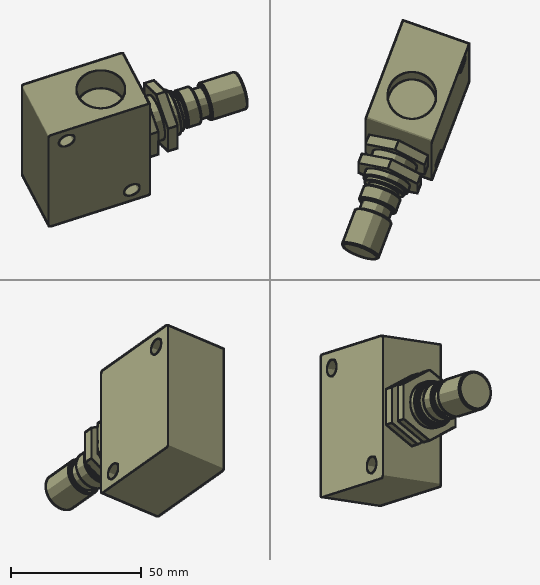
import cadquery as cq

body_width = 27.0
body_height = 56.0
total_length = 85.0
stem_length = 43.0
body_length = total_length - stem_length
edge_radius = 1.0

port_diameter = 18.6
port_depth = 11.0
port_setback = 14.9

mount_diameter = 6.5
mount_height = 21.5
upper_mount_setback = 34.5
lower_mount_setback = 7.6

nut_across_corners = 27.8
nut_thickness = 4.0
nut_starts = (0, 8.0)

sleeve_diameter = 18.0
sleeve_end = 15.0
sleeve_chamfer = 0.3
collar_diameter = 16.0
collar_end = 16.5
collar_chamfer = 0.25
neck_diameter = 12.0
knob_diameter = 15.0
ring_start = 18.0
ring_end = 24.0
knob_start = 28.0
knob_chamfer = 0.5


def rear_plane(distance):
    """Workplane normal to Y at the given distance behind the body."""
    return cq.Workplane("XZ", origin=(0, distance, 0))


def stem_section(diameter, start, end):
    return rear_plane(start).circle(diameter / 2).extrude(start - end)


def make_body():
    body = cq.Workplane("XY").box(body_width, body_length, body_height)
    body = body.translate((0, -body_length / 2, 0)).edges("|X").fillet(edge_radius)
    port = (
        cq.Workplane("XY", origin=(0, -port_setback, body_height / 2))
        .circle(port_diameter / 2)
        .extrude(-port_depth)
    )
    mounts = (
        cq.Workplane("YZ")
        .pushPoints([(-upper_mount_setback, mount_height), (-lower_mount_setback, -mount_height)])
        .circle(mount_diameter / 2)
        .extrude(body_width, both=True)
    )
    return body.cut(port).cut(mounts)


def make_nut(start):
    hexagon = rear_plane(start).polygon(6, nut_across_corners).extrude(-nut_thickness)
    return hexagon.rotate((0, 0, 0), (0, 1, 0), 90)


def make_stem():
    sleeve = stem_section(sleeve_diameter, 0, sleeve_end).faces(">Y").chamfer(sleeve_chamfer)
    collar = stem_section(collar_diameter, sleeve_end, collar_end).faces(">Y").chamfer(collar_chamfer)
    neck = stem_section(neck_diameter, collar_end, knob_start)
    ring = stem_section(knob_diameter, ring_start, ring_end).edges("%CIRCLE").chamfer(knob_chamfer)
    knob = stem_section(knob_diameter, knob_start, stem_length).edges("%CIRCLE").chamfer(knob_chamfer)
    return sleeve.union(collar).union(neck).union(ring).union(knob)


result = make_body().union(make_stem())
for nut_start in nut_starts:
    result = result.union(make_nut(nut_start))